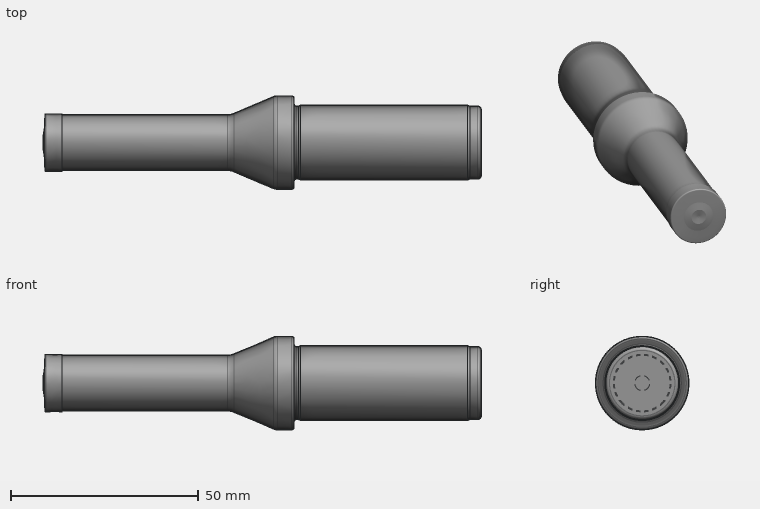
import cadquery as cq
import math

total_length = 117.0

tip_front_diameter = 15.4
tip_rear_diameter = 15.36
tip_length = 5.0
tip_edge_radius = 0.35
face_rim_diameter = 12.5
crown_foot_diameter = 8.0
crown_ridge_diameter = 4.0
center_pit_diameter = 0.5
face_edge_setback = 0.44
face_rim_setback = 0.4
crown_foot_setback = 0.33
center_pit_setback = 0.28

neck_diameter = 14.9
flange_diameter = 25.0
flange_back = 67.0
cone_angle = math.radians(23)
cone_top = 62.0
neck_blend_radius = 4.5
flange_blend_radius = 3.0
flange_edge_radius = 0.7

shank_diameter = 20.0
relief_diameter = 19.5
root_radius = 0.7
front_relief_end = 68.15
rear_relief_start = 113.95
relief_taper_length = 0.6
shank_end_radius = 1.0


def revolve_about_x(profile):
    """Spin a closed (axial, radial) outline about the X axis."""
    return profile.close().revolve(360, (0, 0, 0), (1, 0, 0))


def build_tip():
    front_radius = tip_front_diameter / 2
    profile = (
        cq.Workplane("XY")
        .moveTo(center_pit_setback, 0)
        .lineTo(center_pit_setback, center_pit_diameter / 2)
        .lineTo(0, crown_ridge_diameter / 2)
        .lineTo(crown_foot_setback, crown_foot_diameter / 2)
        .lineTo(face_rim_setback, face_rim_diameter / 2)
        .lineTo(face_edge_setback, front_radius - tip_edge_radius)
        .radiusArc((face_edge_setback + tip_edge_radius, front_radius), tip_edge_radius)
        .lineTo(tip_length, tip_rear_diameter / 2)
        .lineTo(tip_length, 0)
    )
    return revolve_about_x(profile)


def build_shank():
    neck_radius = neck_diameter / 2
    flange_radius = flange_diameter / 2
    shank_radius = shank_diameter / 2
    relief_radius = relief_diameter / 2

    cone_length = (flange_radius - neck_radius) / math.tan(cone_angle)
    cone_foot = cone_top - cone_length
    axial = math.cos(cone_angle)
    radial = math.sin(cone_angle)
    half_axial = math.cos(cone_angle / 2)
    half_radial = math.sin(cone_angle / 2)

    neck_tangent = neck_blend_radius * math.tan(cone_angle / 2)
    flange_tangent = flange_blend_radius * math.tan(cone_angle / 2)
    neck_arc_mid = (
        cone_foot - neck_tangent + neck_blend_radius * half_radial,
        neck_radius + neck_blend_radius * (1 - half_axial),
    )
    flange_arc_mid = (
        cone_top + flange_tangent - flange_blend_radius * half_radial,
        flange_radius - flange_blend_radius * (1 - half_axial),
    )
    neck_arc_end = (cone_foot + neck_tangent * axial, neck_radius + neck_tangent * radial)
    flange_arc_start = (cone_top - flange_tangent * axial, flange_radius - flange_tangent * radial)

    profile = (
        cq.Workplane("XY")
        .moveTo(tip_length, 0)
        .lineTo(tip_length, neck_radius)
        .lineTo(cone_foot - neck_tangent, neck_radius)
        .threePointArc(neck_arc_mid, neck_arc_end)
        .lineTo(*flange_arc_start)
        .threePointArc(flange_arc_mid, (cone_top + flange_tangent, flange_radius))
        .lineTo(flange_back - flange_edge_radius, flange_radius)
        .radiusArc((flange_back, flange_radius - flange_edge_radius), flange_edge_radius)
        .lineTo(flange_back, relief_radius + root_radius)
        .radiusArc((flange_back + root_radius, relief_radius), -root_radius)
        .lineTo(front_relief_end, relief_radius)
        .lineTo(front_relief_end + relief_taper_length, shank_radius)
        .lineTo(rear_relief_start - relief_taper_length, shank_radius)
        .lineTo(rear_relief_start, relief_radius)
        .lineTo(total_length - shank_end_radius, relief_radius)
        .radiusArc((total_length, relief_radius - shank_end_radius), shank_end_radius)
        .lineTo(total_length, 0)
    )
    return revolve_about_x(profile)


tip = build_tip()
shank = build_shank()

result = cq.Compound.makeCompound([tip.val(), shank.val()])